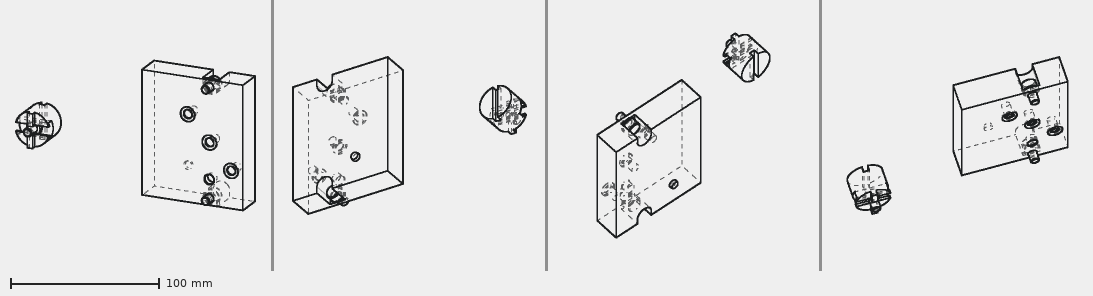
import cadquery as cq
import math


BLOCK_WIDTH = 75.0
BLOCK_DEPTH = 20.0
BLOCK_HEIGHT = 90.0
SCREW_LINE_TO_SIDE = 25.0
DRILL_POINT_ANGLE = 118

SCREW_EDGE_DISTANCE = 5.0
SHANK_DIAMETER = 6.0
TIP_DIAMETER = 4.9
HEAD_DIAMETER = 10.0
SCREW_HEAD_HEIGHT = 5.8
SCREW_PROTRUSION = 6.6
HEAD_CHAMFER = 0.6
FLANGE_DIAMETER = 11.0
FLANGE_THICKNESS = 1.0
CLEARANCE_DIAMETER = 6.6
POCKET_WIDTH = 12.0
POCKET_FLOOR = 3.0

PORT_COUNT = 3
PORT_PITCH_X = 16.0
PORT_PITCH_Z = 18.0
PORT_DIAMETER = 6.0
PORT_DEPTH = 10.0
RING_OUTER_DIAMETER = 10.5
RING_SECTION = 2.0
RING_PROTRUSION = 0.6

DOWEL_DROP = 26.5
DOWEL_INSET = 24.9
DOWEL_DIAMETER = 6.0
DOWEL_PROTRUSION = 2.4
DOWEL_CHAMFER_LENGTH = 1.4
DOWEL_CHAMFER_DEPTH = 0.3
DOWEL_HOLE_DIAMETER = 6.6
DOWEL_HOLE_CHAMFER = 0.5
DOWEL_HOLE_DEPTH = 5.0

COUPLING_DIAMETER = 25.0
COUPLING_LENGTH = 20.0
COUPLING_GAP = 5.0
OVERALL_WIDTH = 157.5
KEYWAY_WIDTH = 4.0
KEYWAY_DEPTH = 4.0
TONGUE_WIDTH = 4.0
TONGUE_HEIGHT = 3.6
NECK_WIDTH = 6.5
LIP_THICKNESS = 1.9
T_SLOT_WIDTH = 11.0
T_SLOT_DEPTH = 4.9
BOLT_HEAD_HEIGHT = 4.3
BOLT_SHANK_LENGTH = 9.9

block_right = SCREW_LINE_TO_SIDE
block_left = block_right - BLOCK_WIDTH
screw_height = BLOCK_HEIGHT / 2 - SCREW_EDGE_DISTANCE
ring_seat_depth = RING_SECTION - RING_PROTRUSION
port_places = [
    (step * PORT_PITCH_X, -step * PORT_PITCH_Z)
    for step in (i - (PORT_COUNT - 1) / 2 for i in range(PORT_COUNT))
]

coupling_x = block_right - OVERALL_WIDTH + COUPLING_DIAMETER / 2
coupling_back = -COUPLING_GAP
coupling_front = coupling_back - COUPLING_LENGTH
lip_back = coupling_front + LIP_THICKNESS


def box(x_range, y_range, z_range):
    """A box filling the given ranges."""
    sizes = [high - low for low, high in (x_range, y_range, z_range)]
    corner = (x_range[0], y_range[0], z_range[0])
    return cq.Workplane("XY").box(*sizes, centered=False).translate(corner)


def cylinder(diameter, x, z, y_front, y_back):
    """A cylinder along Y."""
    plane = cq.Workplane("XZ", origin=(x, y_back, z))
    return plane.circle(diameter / 2).extrude(y_back - y_front)


def drilled_hole(diameter, depth, x, z):
    """A cutter for a blind hole in the block's front face, with a drill point."""
    radius = diameter / 2
    point_length = radius / math.tan(math.radians(DRILL_POINT_ANGLE / 2))
    half_profile = [(0, 0), (radius, 0), (radius, depth), (0, depth + point_length)]
    cutter = cq.Workplane("XY").polyline(half_profile).close().revolve(360, (0, 0), (0, 1))
    return cutter.translate((x, 0, z))


def screw_pocket(side):
    """A cutter, open to the back and to the top (side 1) or bottom (side -1), for a screw head."""
    z_axis = side * screw_height
    z_edge = side * BLOCK_HEIGHT / 2
    y_range = (POCKET_FLOOR, BLOCK_DEPTH)
    x_range = (-POCKET_WIDTH / 2, POCKET_WIDTH / 2)
    round_end = cylinder(POCKET_WIDTH, 0, z_axis, *y_range)
    mouth = box(x_range, y_range, sorted((z_axis, z_edge)))
    return round_end.union(mouth)


def make_dowel():
    """The dowel standing on the back face of the block."""
    dowel_back = BLOCK_DEPTH + DOWEL_PROTRUSION
    dowel = cylinder(DOWEL_DIAMETER, block_left + DOWEL_INSET, -DOWEL_DROP, BLOCK_DEPTH, dowel_back)
    return dowel.faces(">Y").chamfer(DOWEL_CHAMFER_LENGTH, DOWEL_CHAMFER_DEPTH)


def dowel_countersink():
    """A cone-shaped cutter for the chamfer at the mouth of the dowel hole."""
    radius = DOWEL_HOLE_DIAMETER / 2
    centre = cq.Vector(0, 0, -DOWEL_DROP)
    inward = cq.Vector(0, 1, 0)
    return cq.Solid.makeCone(radius + DOWEL_HOLE_CHAMFER, radius, DOWEL_HOLE_CHAMFER, centre, inward)


def make_block():
    block = box(
        (block_left, block_right),
        (0, BLOCK_DEPTH),
        (-BLOCK_HEIGHT / 2, BLOCK_HEIGHT / 2),
    )
    for side in (1, -1):
        block = block.cut(screw_pocket(side))
        block = block.cut(cylinder(CLEARANCE_DIAMETER, 0, side * screw_height, 0, POCKET_FLOOR))
    for x, z in port_places:
        block = block.cut(drilled_hole(PORT_DIAMETER, PORT_DEPTH, x, z))
        block = block.cut(cylinder(RING_OUTER_DIAMETER, x, z, 0, ring_seat_depth))
    block = block.cut(drilled_hole(DOWEL_HOLE_DIAMETER, DOWEL_HOLE_DEPTH, 0, -DOWEL_DROP))
    block = block.cut(dowel_countersink())
    return block.union(make_dowel())


def headed_pin(x, z, tip, seat, head_height):
    """A shank with a chamfered tip and a chamfered head that starts at the seat."""
    tip_chamfer = (SHANK_DIAMETER - TIP_DIAMETER) / 2
    shank = cylinder(SHANK_DIAMETER, x, z, tip, seat).faces("<Y").chamfer(tip_chamfer)
    head = cylinder(HEAD_DIAMETER, x, z, seat, seat + head_height).faces(">Y").chamfer(HEAD_CHAMFER)
    return shank.union(head)


def make_screw(side):
    """A flanged mounting screw near the top (side 1) or bottom (side -1) edge."""
    z = side * screw_height
    head_seat = POCKET_FLOOR + FLANGE_THICKNESS
    screw = headed_pin(0, z, -SCREW_PROTRUSION, head_seat, SCREW_HEAD_HEIGHT)
    return screw.union(cylinder(FLANGE_DIAMETER, 0, z, POCKET_FLOOR, head_seat))


def make_ring(x, z):
    """An O-ring resting on the floor of its seat."""
    section_radius = RING_SECTION / 2
    centre_radius = RING_OUTER_DIAMETER / 2 - section_radius
    ring = cq.Workplane("XY").center(centre_radius, 0).circle(section_radius)
    ring = ring.revolve(360, (-centre_radius, 0), (-centre_radius, 1))
    return ring.translate((x, ring_seat_depth - section_radius, z))


def make_coupling():
    """A disc with a keyway in the back, and a tongue crossed by a T-slot at the front."""
    radius = COUPLING_DIAMETER / 2
    across = (coupling_x - radius, coupling_x + radius)
    full_height = (-radius, radius)
    tongue_front = coupling_front - TONGUE_HEIGHT

    def centred(middle, width):
        return (middle - width / 2, middle + width / 2)

    disc = cylinder(COUPLING_DIAMETER, coupling_x, 0, coupling_front, coupling_back)
    tongue = cylinder(COUPLING_DIAMETER, coupling_x, 0, tongue_front, coupling_front).intersect(
        box(centred(coupling_x, TONGUE_WIDTH), (tongue_front, coupling_front), full_height)
    )
    keyway = box(
        centred(coupling_x, KEYWAY_WIDTH),
        (coupling_back - KEYWAY_DEPTH, coupling_back),
        full_height,
    )
    neck = box(across, (tongue_front, lip_back), centred(0, NECK_WIDTH))
    t_slot = box(across, (lip_back, lip_back + T_SLOT_DEPTH), centred(0, T_SLOT_WIDTH))
    return disc.union(tongue).cut(keyway).cut(neck).cut(t_slot)


def make_bolt():
    """The bolt whose head bears on the lips of the T-slot."""
    return headed_pin(coupling_x, 0, lip_back - BOLT_SHANK_LENGTH, lip_back, BOLT_HEAD_HEIGHT)


block = make_block()
screws = [make_screw(side) for side in (1, -1)]
rings = [make_ring(x, z) for x, z in port_places]
coupling = make_coupling()
bolt = make_bolt()

result = cq.Compound.makeCompound(
    [
        block.val(),
        *[screw.val() for screw in screws],
        *[ring.val() for ring in rings],
        coupling.val(),
        bolt.val(),
    ]
)